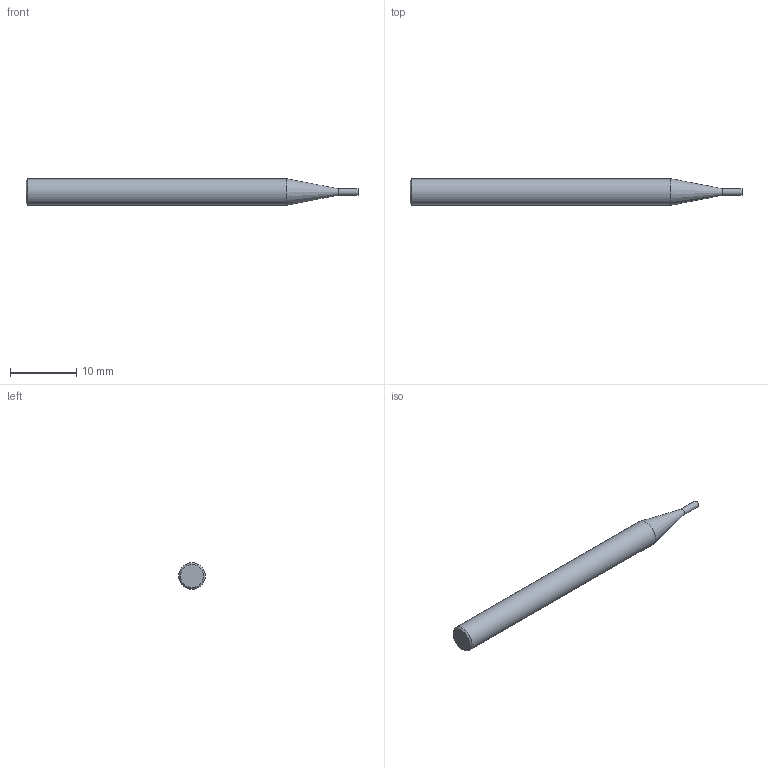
import cadquery as cq

overall_length = 50.0
shank_diameter = 4.0
tip_diameter = 1.0
tip_length = 3.0
taper_length = 7.72
end_chamfer = 0.25

shank_start = 0.0
tip_end = shank_start + overall_length
taper_end = tip_end - tip_length
taper_start = taper_end - taper_length

shank_radius = shank_diameter / 2
tip_radius = tip_diameter / 2


def turned_body():
    """Revolve the half profile: chamfered shank, conical taper, slim tip."""
    profile = (
        cq.Workplane("XY")
        .moveTo(shank_start, 0)
        .lineTo(shank_start, shank_radius - end_chamfer)
        .lineTo(shank_start + end_chamfer, shank_radius)
        .lineTo(taper_start, shank_radius)
        .lineTo(taper_end, tip_radius)
        .lineTo(tip_end, tip_radius)
        .lineTo(tip_end, 0)
        .close()
    )
    return profile.revolve(360, (0, 0, 0), (1, 0, 0))


result = turned_body()